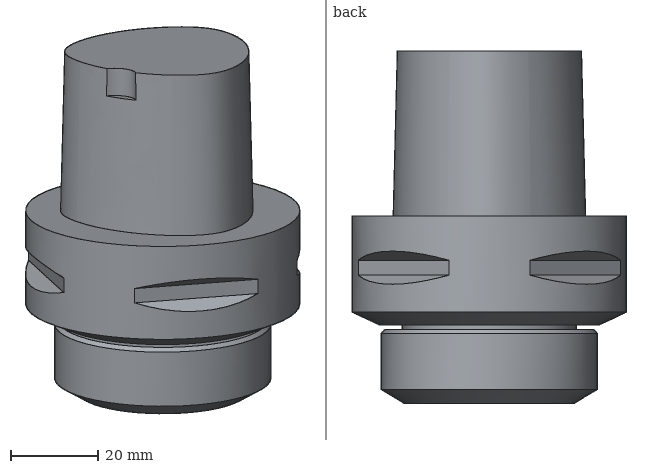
import cadquery as cq
import math

total_height = 81.0
flange_top = 43.1
flange_chamfer_top = 21.0
flange_bottom = 18.0
collar_top = 17.0
collar_rim_chamfer = 0.9
collar_chamfer_height = 3.2

flange_radius = 63.0 / 2
flange_bottom_radius = 25.1
neck_radius = 40.0 / 2
collar_radius = 49.7 / 2
collar_bottom_radius = 19.5

shank_mean_radius = 22.1
lobe_offset = 1.4
shank_taper = 1 / 40
flat_half_angle = 24.0
lobe_pitch = 120.0

notch_radius = 4.9
notch_center_y = -22.7
notch_depth = 6.5

slot_count = 4
slot_first_angle = 45.0
slot_center_height = 31.2
slot_floor_distance = 27.9
slot_floor_height = 3.4
slot_flare_angle = 30.0


def make_turned_body():
    profile = [
        (0, 0),
        (collar_bottom_radius, 0),
        (collar_radius, collar_chamfer_height),
        (collar_radius, collar_top - collar_rim_chamfer),
        (collar_radius - collar_rim_chamfer, collar_top),
        (neck_radius, collar_top),
        (neck_radius, flange_bottom),
        (flange_bottom_radius, flange_bottom),
        (flange_radius, flange_chamfer_top),
        (flange_radius, flange_top),
        (0, flange_top),
    ]
    return cq.Workplane("XZ").polyline(profile).close().revolve(360, (0, 0), (0, 1))


def shank_point(mean_radius, degrees):
    """Point on the three-lobed curve; 0 degrees is the middle of the -Y flat."""
    angle = math.radians(degrees)
    outward = (
        mean_radius * math.cos(angle)
        - 2 * lobe_offset * math.cos(2 * angle)
        + lobe_offset * math.cos(4 * angle)
    )
    sideways = (
        mean_radius * math.sin(angle)
        + 2 * lobe_offset * math.sin(2 * angle)
        + lobe_offset * math.sin(4 * angle)
    )
    return sideways, -outward


def shank_section(height):
    """Closed outline of alternating flats and lobes at the given height."""
    mean_radius = shank_mean_radius - shank_taper * (height - flange_top)
    steps_per_edge = 12
    edges = []
    for lobe in range(3):
        flat_start = lobe * lobe_pitch - flat_half_angle
        flat_end = lobe * lobe_pitch + flat_half_angle
        next_flat_start = flat_start + lobe_pitch
        for start, end in [(flat_start, flat_end), (flat_end, next_flat_start)]:
            points = []
            for step in range(steps_per_edge + 1):
                degrees = start + (end - start) * step / steps_per_edge
                points.append(cq.Vector(*shank_point(mean_radius, degrees), height))
            edges.append(cq.Edge.makeSpline(points))
    return cq.Wire.assembleEdges(edges)


def make_shank():
    sections = [shank_section(flange_top), shank_section(total_height)]
    return cq.Workplane(cq.Solid.makeLoft(sections, True))


def make_notch():
    return (
        cq.Workplane("XY", origin=(0, notch_center_y, total_height - notch_depth))
        .circle(notch_radius)
        .extrude(notch_depth)
    )


def make_slot(angle):
    depth = flange_radius - slot_floor_distance
    floor_half = slot_floor_height / 2
    mouth_half = floor_half + depth * math.tan(math.radians(slot_flare_angle))
    return (
        cq.Workplane("XZ", origin=(0, 0, slot_center_height))
        .polyline([
            (slot_floor_distance, -floor_half),
            (flange_radius, -mouth_half),
            (flange_radius, mouth_half),
            (slot_floor_distance, floor_half),
        ])
        .close()
        .extrude(flange_radius, both=True)
        .rotate((0, 0, 0), (0, 0, 1), angle)
    )


result = make_turned_body().union(make_shank()).cut(make_notch())
for slot in range(slot_count):
    result = result.cut(make_slot(slot_first_angle + slot * 360 / slot_count))